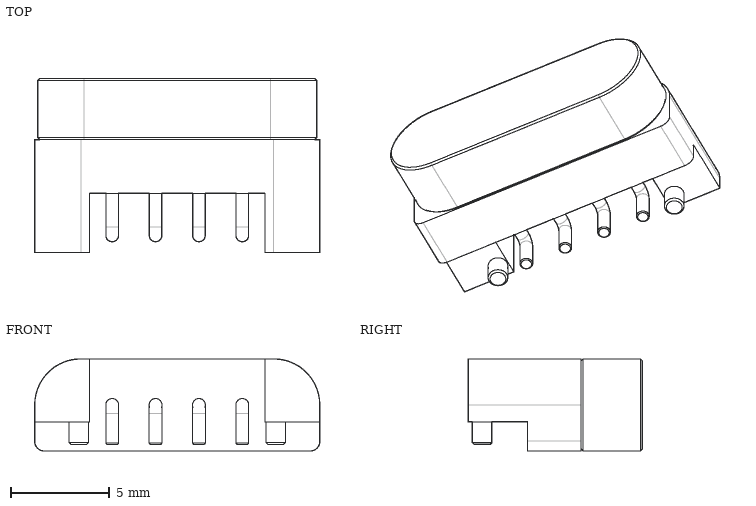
import cadquery as cq


width = 14.5
depth = 8.85
height = 4.7

nose_width = 14.2
nose_depth = 3.1
nose_chamfer = 0.1

housing_depth = depth - nose_depth
shoulder_radius = height / 2
lower_corner_radius = 0.51

foot_length = 3.0
foot_underside = 1.5
bay_width = 8.9

peg_diameter = 1.0
peg_offset_x = 5.0
peg_y = 0.7
peg_tip_z = 0.35
peg_chamfer = 0.1

pin_count = 4
pin_pitch = 2.2
pin_diameter = 0.65
pin_axis_z = height / 2
pin_tail_y = 0.87
pin_tip_z = peg_tip_z
pin_bend_radius = 0.42
pin_chamfer = 0.06

pin_xs = [(i - (pin_count - 1) / 2) * pin_pitch for i in range(pin_count)]


def block(x_size, y_size, z_size, y_start, z_start):
    """Box centred in X, starting at the given Y and Z."""
    box = cq.Workplane("XY").box(x_size, y_size, z_size, centered=(True, False, False))
    return box.translate((0, y_start, z_start))


def make_peg(x):
    """Locating peg with a chamfered tip, reaching up to the underside of its foot."""
    return (
        cq.Workplane("XY", origin=(x, peg_y, peg_tip_z))
        .circle(peg_diameter / 2)
        .extrude(foot_underside - peg_tip_z)
        .faces("<Z")
        .chamfer(peg_chamfer)
    )


def make_housing():
    """Housing with rounded edges, open bay, undercut feet, pegs and pin holes."""
    housing = block(width, housing_depth, height, 0, 0)
    housing = housing.edges("|Y and <Z").fillet(lower_corner_radius)
    housing = housing.edges("|Y and >Z").fillet(shoulder_radius)

    housing = housing.cut(block(bay_width, foot_length, height, 0, 0))
    housing = housing.cut(block(width, foot_length, foot_underside, 0, 0))

    for x in (-peg_offset_x, peg_offset_x):
        housing = housing.union(make_peg(x))

    for x in pin_xs:
        hole = (
            cq.Workplane("XZ", origin=(x, housing_depth, pin_axis_z))
            .circle(pin_diameter / 2)
            .extrude(housing_depth - foot_length)
        )
        housing = housing.cut(hole)
    return housing


def make_nose():
    """Full-round bar against the back of the housing."""
    return (
        cq.Workplane("XZ", origin=(0, depth, height / 2))
        .slot2D(nose_width, height)
        .extrude(nose_depth)
        .faces("<Y or >Y")
        .chamfer(nose_chamfer)
    )


def make_pin(x):
    """Round pin that runs forward out of the housing wall and bends down to a chamfered tip."""
    path = (
        cq.Workplane("YZ", origin=(x, 0, 0))
        .moveTo(housing_depth, pin_axis_z)
        .lineTo(pin_tail_y + pin_bend_radius, pin_axis_z)
        .tangentArcPoint((pin_tail_y, pin_axis_z - pin_bend_radius), relative=False)
        .lineTo(pin_tail_y, pin_tip_z)
    )
    pin = (
        cq.Workplane("XZ", origin=(x, housing_depth, pin_axis_z))
        .circle(pin_diameter / 2)
        .sweep(path)
    )
    return pin.faces("<Z").chamfer(pin_chamfer)


housing = make_housing()
nose = make_nose()
pins = [make_pin(x) for x in pin_xs]

result = cq.Compound.makeCompound([housing.val(), nose.val(), *[pin.val() for pin in pins]])